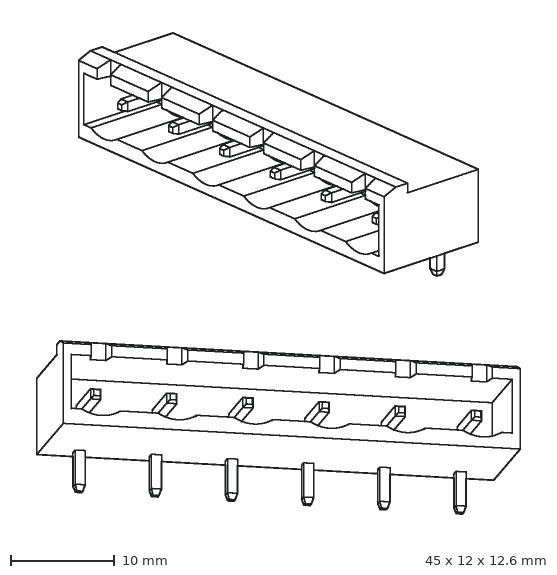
import cadquery as cq

pin_count = 6
pitch = 7.5
pin_size = 1.0
pin_tip_size = 0.6
pin_taper_length = 0.6
pin_tail_length = 4.0
pin_tail_from_back = 2.0
contact_height = 3.8
contact_tip_depth = 2.0

length = pin_count * pitch
depth = 12.0
front_height = 8.6
back_height = 7.6
ridge_depth = 3.0
bevel_depth = 1.5
bevel_drop = 0.6

side_wall = 0.8
floor_height = 1.55
cavity_top = 6.9
cavity_depth = 9.0
scallop_width = 3.8
scallop_sag = 0.55

notch_front_width = 2.0
notch_back_width = 1.5
notch_depth = bevel_depth

pin_positions = [(i - (pin_count - 1) / 2) * pitch for i in range(pin_count)]
tail_y = depth - pin_tail_from_back


def make_housing():
    """Extrude the side profile along X; front face at Y = 0, underside at Z = 0."""
    profile = [
        (0, 0),
        (depth, 0),
        (depth, back_height),
        (ridge_depth, back_height),
        (ridge_depth, front_height),
        (bevel_depth, front_height),
        (0, front_height - bevel_drop),
    ]
    return cq.Workplane("YZ").polyline(profile).close().extrude(length / 2, both=True)


def make_cavity():
    """Rectangular cavity whose floor dips in a shallow arc under each contact."""
    half_width = length / 2 - side_wall
    outline = cq.Workplane("XZ").moveTo(-half_width, cavity_top).lineTo(-half_width, floor_height)
    for x in pin_positions:
        outline = outline.lineTo(x - scallop_width / 2, floor_height)
        outline = outline.threePointArc(
            (x, floor_height - scallop_sag),
            (x + scallop_width / 2, floor_height),
        )
    outline = outline.lineTo(half_width, floor_height).lineTo(half_width, cavity_top).close()
    return outline.extrude(-cavity_depth)


def make_notch(x):
    """Vertical slot in the lip, narrowing towards the back."""
    outline = [
        (x - notch_front_width / 2, 0),
        (x + notch_front_width / 2, 0),
        (x + notch_back_width / 2, notch_depth),
        (x - notch_back_width / 2, notch_depth),
    ]
    lip_thickness = front_height - cavity_top
    return cq.Workplane("XY", origin=(0, 0, cavity_top)).polyline(outline).close().extrude(lip_thickness)


def make_leg(plane, straight_length):
    """Square bar starting on the plane, ending in a tapered tip."""
    bar = cq.Workplane(plane).rect(pin_size, pin_size).extrude(straight_length)
    tip = (
        bar.faces(cq.selectors.DirectionMinMaxSelector(plane.zDir, True))
        .workplane()
        .rect(pin_size, pin_size)
        .workplane(offset=pin_taper_length)
        .rect(pin_tip_size, pin_tip_size)
        .loft(combine=False)
    )
    return bar.union(tip)


def make_pin(x):
    """Right-angle pin: contact pointing to the front, tail pointing down."""
    bend_y = tail_y + pin_size / 2
    bend_z = contact_height + pin_size / 2
    contact_plane = cq.Plane(origin=(x, bend_y, contact_height), xDir=(1, 0, 0), normal=(0, -1, 0))
    tail_plane = cq.Plane(origin=(x, tail_y, bend_z), xDir=(1, 0, 0), normal=(0, 0, -1))
    contact = make_leg(contact_plane, bend_y - contact_tip_depth - pin_taper_length)
    tail = make_leg(tail_plane, bend_z + pin_tail_length - pin_taper_length)
    return contact.union(tail)


result = make_housing().cut(make_cavity())
for pin_x in pin_positions:
    result = result.cut(make_notch(pin_x))
for pin_x in pin_positions:
    result = result.union(make_pin(pin_x))